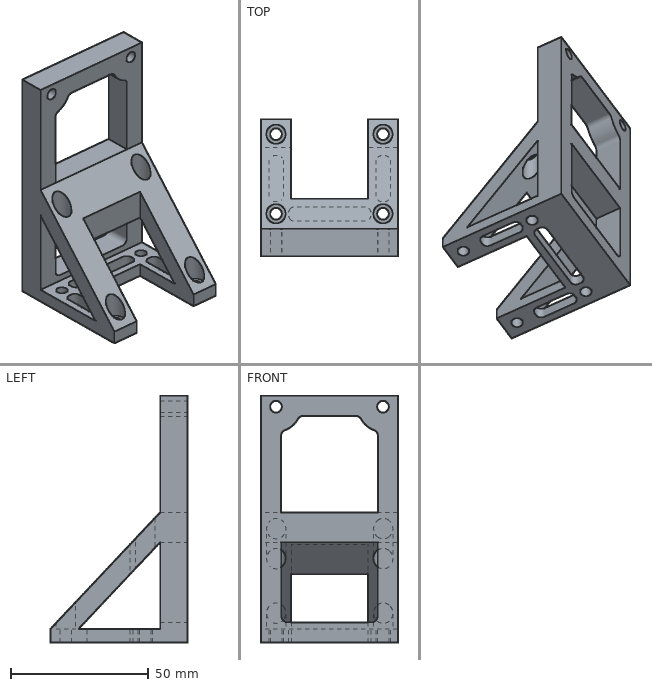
import cadquery as cq
import math

width = 50.0
depth = 50.0
height = 90.0
wall_thickness = 10.0
base_thickness = 5.0

brace_top_z = 47.5
brace_thickness = 7.5

window_width = 35.2
upper_window_bottom = brace_top_z
upper_window_top = 82.6
lower_window_bottom = 7.4
lower_window_fillet = 2.4
corner_lobe_radius = 9.2
corner_lobe_fillet = 2.0

screw_diameter = 4.2
access_diameter = 7.0
hole_spacing_x = 39.0
hole_spacing_y = 29.0
hole_edge_margin = 5.5
wall_hole_z = 86.0

notch_width = 28.0
notch_margin = 11.0
slot_width = 5.2
slot_corner_radius = 2.15
slot_hole_distance = 4.5
side_slot_end_y = 36.8

brace_angle = math.atan2(brace_top_z - base_thickness, depth - wall_thickness)
brace_underside_z = brace_top_z - brace_thickness / math.cos(brace_angle)
brace_underside_y = wall_thickness + (brace_underside_z - base_thickness) / math.tan(brace_angle)
hole_x = hole_spacing_x / 2
hole_back_y = depth - hole_edge_margin
hole_front_y = hole_back_y - hole_spacing_y
base_hole_points = [(x, y) for x in (-hole_x, hole_x) for y in (hole_front_y, hole_back_y)]


def extrude_across_width(points):
    """Prism of a Y-Z outline, spanning the full width in X."""
    return cq.Workplane("YZ").polyline(points).close().extrude(width / 2, both=True)


def side_frame():
    """Wall, base and brace, with the triangular opening between them."""
    outline = extrude_across_width([
        (0, 0),
        (depth, 0),
        (depth, base_thickness),
        (wall_thickness, brace_top_z),
        (wall_thickness, height),
        (0, height),
    ])
    opening = extrude_across_width([
        (wall_thickness, base_thickness),
        (brace_underside_y, base_thickness),
        (wall_thickness, brace_underside_z),
    ])
    return outline.cut(opening)


def wall_block(bottom, top):
    """Box of the window width through the wall, between two heights."""
    return cq.Workplane("XY").box(
        window_width, wall_thickness, top - bottom, centered=(True, False, False)
    ).translate((0, 0, bottom))


def wall_cylinders(diameter):
    """Cylinders through the wall on the two upper hole axes."""
    return (
        cq.Workplane("XZ")
        .pushPoints([(-hole_x, wall_hole_z), (hole_x, wall_hole_z)])
        .circle(diameter / 2)
        .extrude(-wall_thickness)
    )


def upper_window():
    """Window whose upper corners bulge inward around the wall holes."""
    window = wall_block(upper_window_bottom, upper_window_top).cut(wall_cylinders(2 * corner_lobe_radius))
    window_middle_z = (upper_window_bottom + upper_window_top) / 2
    upper_half = cq.selectors.BoxSelector((-width, 0, window_middle_z), (width, wall_thickness, height))
    return window.edges("|Y").edges(upper_half).fillet(corner_lobe_fillet)


def lower_window():
    """Window below the brace, with rounded lower corners."""
    window = wall_block(lower_window_bottom, brace_underside_z)
    return window.faces("<Z").edges("|Y").fillet(lower_window_fillet)


def notch():
    """Vertical notch through the brace and base, open at the back."""
    start_y = wall_thickness + notch_margin
    return cq.Workplane("XY").box(
        notch_width, depth - start_y, brace_top_z, centered=(True, False, False)
    ).translate((0, start_y, 0))


def base_holes():
    """Screw holes in the base and wider access holes above them in the brace."""
    screws = cq.Workplane("XY").pushPoints(base_hole_points).circle(screw_diameter / 2).extrude(base_thickness)
    access = (
        cq.Workplane("XY", origin=(0, 0, base_thickness))
        .pushPoints(base_hole_points)
        .circle(access_diameter / 2)
        .extrude(brace_top_z - base_thickness)
    )
    return screws.union(access)


def rounded_slot(length_x, length_y, centre):
    """Rectangular slot through the base with rounded corners."""
    slot = cq.Workplane("XY").box(length_x, length_y, base_thickness, centered=(True, True, False))
    return slot.edges("|Z").fillet(slot_corner_radius).translate((*centre, 0))


def base_slots():
    """Slots in the two side arms of the base and in its front strip."""
    front_slot_length = 2 * (hole_x - slot_hole_distance)
    side_slot_start = hole_front_y + slot_hole_distance
    side_slot_length = side_slot_end_y - side_slot_start
    side_slot_middle = (side_slot_start + side_slot_end_y) / 2
    slots = rounded_slot(front_slot_length, slot_width, (0, hole_front_y))
    for x in (-hole_x, hole_x):
        slots = slots.union(rounded_slot(slot_width, side_slot_length, (x, side_slot_middle)))
    return slots


result = side_frame()
for cutter in (
    upper_window(),
    lower_window(),
    wall_cylinders(screw_diameter),
    notch(),
    base_holes(),
    base_slots(),
):
    result = result.cut(cutter)